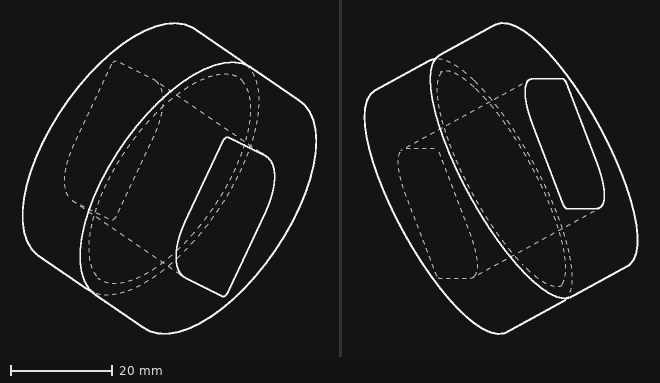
import cadquery as cq
import math

outer_diameter = 54.5
width = 30.0
rim_fillet = 1.0

groove_width = 1.6
groove_depth = 3.0
groove_lip_fillet = 0.4
groove_root_fillet = 0.5

bore_radius = 14.45
flat_run = 3.0
flat_rise = 4.0
tip_fillet = 1.0

outer_radius = outer_diameter / 2
groove_radius = outer_radius - groove_depth


def cylinder(radius, length, start_x=0.0):
    """Solid cylinder along X, starting at start_x."""
    return cq.Workplane("YZ", origin=(start_x, 0, 0)).circle(radius).extrude(length)


def grooved_body():
    """Cylinder with rounded rims and a rounded groove at mid-width."""
    groove_start = (width - groove_width) / 2
    body = cylinder(outer_radius, width).faces("<X or >X").edges().fillet(rim_fillet)
    cutter = cylinder(outer_radius + groove_depth, groove_width, groove_start)
    body = body.cut(cutter.cut(cylinder(groove_radius, groove_width, groove_start)))

    for radius, fillet in ((groove_radius, groove_root_fillet), (outer_radius, groove_lip_fillet)):
        reach = radius + fillet / 2
        margin = fillet / 2
        selection = cq.selectors.BoxSelector(
            (groove_start - margin, -reach, -reach),
            (groove_start + groove_width + margin, reach, reach),
            boundingbox=True,
        )
        body = body.edges(selection).fillet(fillet)
    return body


def pointed_opening():
    """Cutter for the opening, with flats tangent to the bore and rounded tips."""
    flat_length = math.hypot(flat_run, flat_rise)
    tip_z = bore_radius * flat_length / flat_run
    tangent_y = bore_radius * flat_rise / flat_length
    tangent_z = bore_radius * flat_run / flat_length
    outline = (
        cq.Workplane("YZ")
        .moveTo(0, tip_z)
        .lineTo(tangent_y, tangent_z)
        .threePointArc((bore_radius, 0), (tangent_y, -tangent_z))
        .lineTo(0, -tip_z)
        .lineTo(-tangent_y, -tangent_z)
        .threePointArc((-bore_radius, 0), (-tangent_y, tangent_z))
        .close()
    )
    opening = outline.extrude(width)
    tip_edges = opening.edges("|X").edges(">Z or <Z")
    return tip_edges.fillet(tip_fillet)


result = grooved_body().cut(pointed_opening()).translate((-width / 2, 0, 0))